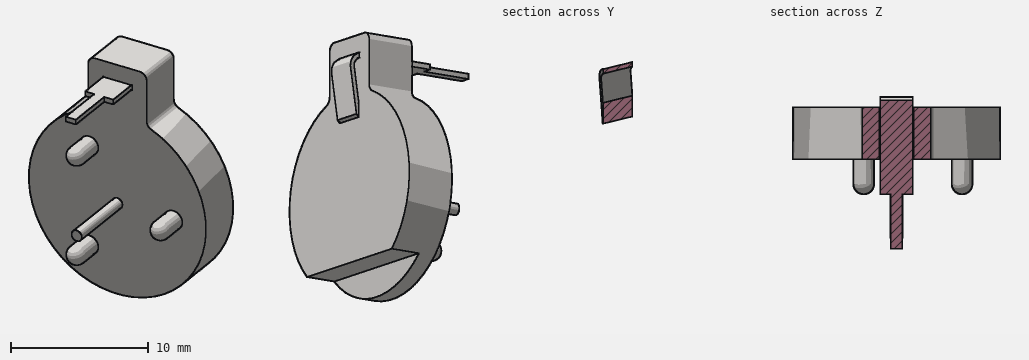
import cadquery as cq

body_radius = 7.55
body_depth = 3.81
tab_width = 5.0
tab_top = 19.05 - body_radius
corner_radius = 0.61

step_z = -5.33
step_depth = 1.4

post_count = 3
post_radius = 0.76
post_length = 2.53
post_circle_radius = 4.76

pin_radius = 0.44
pin_length = 5.68

contact_thickness = 0.4
contact_width = 2.38
contact_top = 10.17
contact_shoulder = 2.53
contact_length = 6.5
contact_tail_width = 0.85
contact_bottom = contact_top - contact_thickness

slot_width = 2.5

spring_back = 11.05 - contact_length
leaf_thickness = 0.35
bend_start = (4.27, 9.85)
bend_middle = (4.48, 9.5)
bend_end_z = 9.01
inner_bend_start = (4.05, 9.56)
inner_bend_middle = (4.2, 9.35)
leaf_corner = (4.02, 5.55)
leaf_tip = (3.62, 5.15)

embed = 0.2


def make_body():
    disc = cq.Workplane("XZ").circle(body_radius).extrude(-body_depth)
    tab = (
        cq.Workplane("XZ")
        .center(0, tab_top / 2)
        .rect(tab_width, tab_top)
        .extrude(-body_depth)
        .edges("|Y and >Z")
        .fillet(corner_radius)
    )
    body = disc.union(tab)
    neck = cq.selectors.BoxSelector(
        (-tab_width, -embed, body_radius / 2),
        (tab_width, body_depth + embed, body_radius),
    )
    body = body.edges("|Y").edges(neck).fillet(corner_radius)
    step = (
        cq.Workplane("XY")
        .box(2 * body_radius, body_depth, body_radius, centered=(True, False, False))
        .translate((0, step_depth, step_z - body_radius))
    )
    return body.cut(step)


def make_rod(radius, length):
    """Rod along -Y, rooted inside the body."""
    return cq.Workplane("XZ", origin=(0, embed, 0)).circle(radius).extrude(length + embed)


def make_posts():
    post = make_rod(post_radius, post_length - post_radius)
    dome = cq.Workplane("XY").sphere(post_radius).translate((0, post_radius - post_length, 0))
    post = post.union(dome).translate((post_circle_radius, 0, 0))
    posts = cq.Workplane("XY")
    for index in range(post_count):
        posts = posts.union(post.rotate((0, 0, 0), (0, 1, 0), index * 360 / post_count))
    return posts


def make_plate(width, front_y, back_y):
    """Flat plate at the height of the contact."""
    return (
        cq.Workplane("XY")
        .box(width, back_y - front_y, contact_thickness, centered=(True, False, False))
        .translate((0, front_y, contact_bottom))
    )


def make_contact():
    blade = make_plate(contact_width, -contact_shoulder, body_depth)
    tail = make_plate(contact_tail_width, -contact_length, 0)
    leaf = (
        cq.Workplane("YZ")
        .moveTo(body_depth - embed, contact_top)
        .lineTo(body_depth, contact_top)
        .lineTo(*bend_start)
        .threePointArc(bend_middle, (spring_back, bend_end_z))
        .lineTo(*leaf_corner)
        .lineTo(*leaf_tip)
        .lineTo(spring_back - leaf_thickness, bend_end_z)
        .threePointArc(inner_bend_middle, inner_bend_start)
        .lineTo(body_depth, contact_bottom)
        .lineTo(body_depth - embed, contact_bottom)
        .close()
        .extrude(contact_width / 2, both=True)
    )
    return blade.union(tail).union(leaf)


result = (
    make_body()
    .cut(make_plate(slot_width, 0, body_depth))
    .union(make_posts())
    .union(make_rod(pin_radius, pin_length))
    .union(make_contact())
)